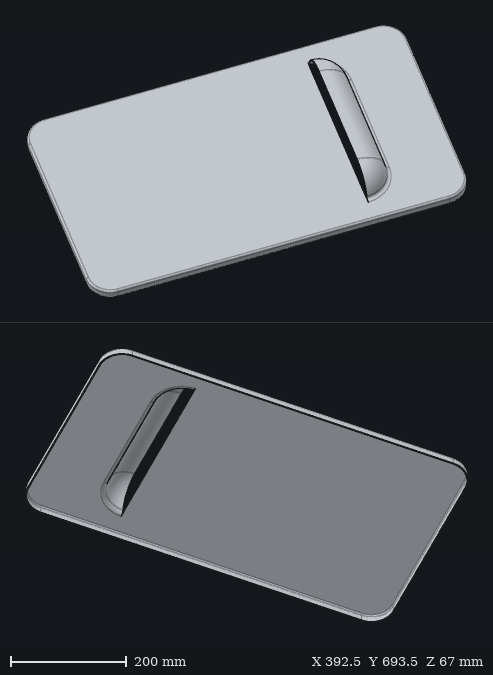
import cadquery as cq
import math


length = 693.5
width = 392.5
tray_height = 17.0
overall_height = 67.0
corner_radius = 44.0
edge_radius = 4.0
wall = 2.0

hood_radius = 53.0
hood_straight = 200.0
mouth_y = 167.0
flare_radius = 7.0

axis_z = overall_height - hood_radius
flare_z = tray_height + flare_radius
flare_angle = math.asin((flare_z - axis_z) / (hood_radius + flare_radius))
flare_reach = (hood_radius + flare_radius) * math.cos(flare_angle)


def tray_block(inset):
    """Tray outline as a solid, with every face but the bottom moved inward by inset."""
    return (
        cq.Workplane("XY")
        .rect(width - 2 * inset, length - 2 * inset)
        .extrude(tray_height - inset)
        .edges("|Z")
        .fillet(corner_radius - inset)
        .faces(">Z")
        .edges()
        .fillet(edge_radius - inset)
    )


def hood_section(inset, side_x):
    """Section in the YZ plane at side_x: dome arc, then flare arc, then straight down."""
    dome = hood_radius - inset
    flare = flare_radius + inset

    def on_dome(angle):
        return mouth_y + dome * math.cos(angle), axis_z + dome * math.sin(angle)

    def on_flare(angle):
        return (
            mouth_y + flare_reach - flare * math.cos(angle),
            flare_z - flare * math.sin(angle),
        )

    mid_angle = (flare_angle + math.pi / 2) / 2
    return (
        cq.Workplane("YZ", origin=(side_x, 0, 0))
        .moveTo(mouth_y, 0)
        .lineTo(mouth_y, axis_z + dome)
        .threePointArc(on_dome(mid_angle), on_dome(flare_angle))
        .threePointArc(on_flare(mid_angle), on_flare(math.pi / 2))
        .lineTo(mouth_y + flare_reach, 0)
        .close()
    )


def hood_block(inset):
    """Solid hood reaching down to Z = 0: a straight middle and two quarter-turn ends."""
    left_x = -hood_straight / 2
    axis_start = (mouth_y, 0)
    axis_end = (mouth_y, 1)
    middle = hood_section(inset, left_x).extrude(hood_straight)
    left_end = hood_section(inset, left_x).revolve(90, axis_start, axis_end)
    right_end = left_end.mirror("YZ")
    return middle.union(left_end).union(right_end)


def tray_with_hood(inset):
    return tray_block(inset).union(hood_block(inset))


result = tray_with_hood(0).cut(tray_with_hood(wall))